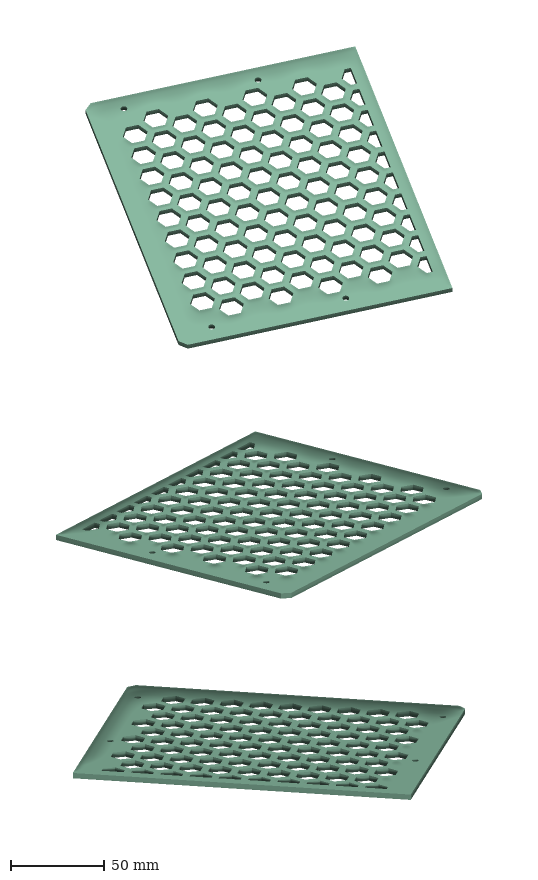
import cadquery as cq
import math

plate_width = 185.0
plate_depth = 152.0
plate_thickness = 3.0
front_corner_chamfer = 4.0

hex_across_flats = 12.0
web_width = 4.0
hex_pitch = hex_across_flats + web_width
row_pitch = hex_pitch * math.sin(math.radians(60))
hex_across_corners = hex_across_flats / math.cos(math.radians(30))
row_count = 10
short_row_hexes = 9
rows_before_centre = 4
first_row_y = plate_depth / 2 - rows_before_centre * row_pitch
vent_back_y = first_row_y + (row_count - 1) * row_pitch

hole_diameter = 3.6
hole_edge_distance = 9.0
hole_x = plate_width / 2 - hole_edge_distance
front_hole_y = 20.0
hole_spacing_y = 75.0
back_hole_y = front_hole_y + hole_spacing_y


def make_plate():
    """Flat plate with the two front corners cut off."""
    plate = cq.Workplane("XY").box(
        plate_width, plate_depth, plate_thickness, centered=(True, False, False)
    )
    return plate.edges("|Z and <Y").chamfer(front_corner_chamfer)


def hex_centres():
    """Staggered rows, each centred on X; every second row has one more hexagon."""
    centres = []
    for row in range(row_count):
        count = short_row_hexes + row % 2
        row_start_x = -(count - 1) * hex_pitch / 2
        for column in range(count):
            centres.append((row_start_x + column * hex_pitch, first_row_y + row * row_pitch))
    return centres


def make_vent():
    """Hexagonal cutters, trimmed to the straight back line of the vent."""
    hexagon = cq.Sketch().regularPolygon(hex_across_corners / 2, 6)
    cutters = (
        cq.Workplane("XY")
        .pushPoints(hex_centres())
        .placeSketch(hexagon)
        .extrude(plate_thickness)
    )
    vent_area = cq.Workplane("XY").box(
        plate_width, vent_back_y, plate_thickness, centered=(True, False, False)
    )
    return cutters.intersect(vent_area)


def make_mounting_holes():
    """Four through-hole cutters, mirrored about the YZ plane."""
    centres = [(side * hole_x, y) for side in (-1, 1) for y in (front_hole_y, back_hole_y)]
    return cq.Workplane("XY").pushPoints(centres).circle(hole_diameter / 2).extrude(plate_thickness)


result = make_plate().cut(make_vent()).cut(make_mounting_holes())